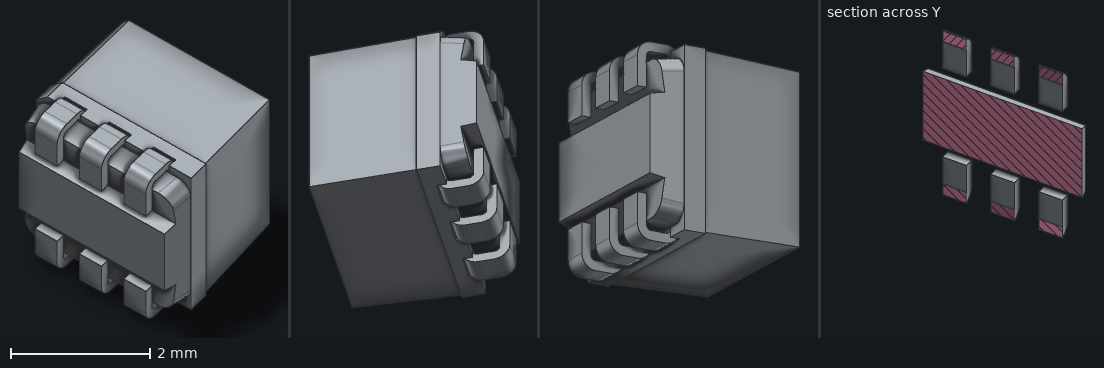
import cadquery as cq
import math

TOTAL_DEPTH = 2.5
CAP_DEPTH = 1.6
FLANGE_DEPTH = 0.35
NOSE_SETBACK = 0.03
FLANGE_FRONT = CAP_DEPTH + FLANGE_DEPTH
NOSE_FRONT = TOTAL_DEPTH - NOSE_SETBACK
NOSE_DEPTH = NOSE_FRONT - FLANGE_FRONT

FLANGE_SIDE = 2.8
FLANGE_CHAMFER = 0.2

CAP_FRONT_SIDE = 2.748
CAP_FRONT_CHAMFER = 0.18
CAP_BACK_SIDE = 2.643
CAP_BACK_CHAMFER = 0.105

NOSE_WIDTH = 2.775
NOSE_HEIGHT = 2.5
NOSE_DRAFT = 8.0
NOSE_CORNER_RADIUS = 0.25
BAND_HEIGHT = 1.2
STEP_DEPTH = 0.225
STEP_WALL_SLOPE = 12.0

LEAD_SPAN = 3.0
LEAD_WIDTH = 0.4
LEAD_THICKNESS = 0.15
LEAD_PITCH = 0.8
LEADS_PER_ROW = 3
LEAD_FOOT_LENGTH = 0.7
LEAD_OUTER_RADIUS = 0.23
LEAD_INNER_RADIUS = LEAD_OUTER_RADIUS - LEAD_THICKNESS
LEAD_TOP = LEAD_SPAN / 2
LEAD_BACK = FLANGE_FRONT - LEAD_THICKNESS
LEAD_ROOT = LEAD_TOP - LEAD_OUTER_RADIUS
LEAD_XS = [(i - (LEADS_PER_ROW - 1) / 2) * LEAD_PITCH for i in range(LEADS_PER_ROW)]


def plane_at(depth):
    """XZ plane at the given depth, with its normal pointing forward (-Y)."""
    return cq.Workplane("XZ", origin=(0, -depth, 0))


def chamfered_square(side, chamfer):
    """Corners of a square centred on the origin, cut at its -X, +Z corner."""
    half = side / 2
    return [
        (-half, -half),
        (half, -half),
        (half, half),
        (chamfer - half, half),
        (-half, half - chamfer),
    ]


def make_cap():
    """Tapered cap standing on the back of the flange."""
    return (
        plane_at(0).polyline(chamfered_square(CAP_BACK_SIDE, CAP_BACK_CHAMFER)).close()
        .workplane(offset=CAP_DEPTH)
        .polyline(chamfered_square(CAP_FRONT_SIDE, CAP_FRONT_CHAMFER)).close()
        .loft(ruled=True, combine=True)
    )


def make_step_cutter():
    """Prism removed from the upper front of the nose, with a floor square to its drafted top."""
    floor_slope = math.tan(math.radians(NOSE_DRAFT))
    inner_z = BAND_HEIGHT / 2 + STEP_DEPTH * math.tan(math.radians(STEP_WALL_SLOPE))
    inner_depth = NOSE_FRONT - STEP_DEPTH
    outer_z = NOSE_HEIGHT / 2
    outer_depth = inner_depth + (outer_z - inner_z) * floor_slope
    outline = [
        (-NOSE_FRONT, BAND_HEIGHT / 2),
        (-inner_depth, inner_z),
        (-outer_depth, outer_z),
        (-NOSE_FRONT, outer_z),
    ]
    return cq.Workplane("YZ").polyline(outline).close().extrude(NOSE_WIDTH / 2, both=True)


def make_nose():
    """Drafted, round-cornered block with a step along its top and its bottom."""
    front_shrink = 2 * NOSE_DEPTH * math.tan(math.radians(NOSE_DRAFT))
    block = (
        plane_at(FLANGE_FRONT).rect(NOSE_WIDTH, NOSE_HEIGHT)
        .workplane(offset=NOSE_DEPTH)
        .rect(NOSE_WIDTH - front_shrink, NOSE_HEIGHT - front_shrink)
        .loft(ruled=True, combine=True)
    )
    slanted_edges = block.edges("not(#Y)")
    block = slanted_edges.fillet(NOSE_CORNER_RADIUS)
    step = make_step_cutter()
    return block.cut(step).cut(step.mirror("XY"))


def make_top_lead(x):
    """Lead of the top row: rear leg, bend, top run, bend and foot, swept along X."""
    front_y = -TOTAL_DEPTH
    back_y = -LEAD_BACK
    foot_end = LEAD_TOP - LEAD_FOOT_LENGTH
    bend_front_y = front_y + LEAD_OUTER_RADIUS
    bend_back_y = back_y - LEAD_OUTER_RADIUS
    inner_top = LEAD_TOP - LEAD_THICKNESS
    return (
        cq.Workplane("YZ", origin=(x, 0, 0))
        .moveTo(front_y, foot_end)
        .lineTo(front_y, LEAD_ROOT)
        .radiusArc((bend_front_y, LEAD_TOP), LEAD_OUTER_RADIUS)
        .lineTo(bend_back_y, LEAD_TOP)
        .radiusArc((back_y, LEAD_ROOT), LEAD_OUTER_RADIUS)
        .lineTo(back_y - LEAD_THICKNESS, LEAD_ROOT)
        .radiusArc((bend_back_y, inner_top), -LEAD_INNER_RADIUS)
        .lineTo(bend_front_y, inner_top)
        .radiusArc((front_y + LEAD_THICKNESS, LEAD_ROOT), -LEAD_INNER_RADIUS)
        .lineTo(front_y + LEAD_THICKNESS, foot_end)
        .close()
        .extrude(LEAD_WIDTH / 2, both=True)
    )


def make_top_notch(x):
    """Rectangular notch in the front top edge of the flange that takes a lead's rear leg."""
    return cq.Workplane("XY").box(
        LEAD_WIDTH, LEAD_THICKNESS, LEAD_OUTER_RADIUS, centered=(True, False, False)
    ).translate((x, -FLANGE_FRONT, LEAD_ROOT))


def make_base():
    """Flange and nose in one piece, notched for the leads."""
    flange = (
        plane_at(CAP_DEPTH).polyline(chamfered_square(FLANGE_SIDE, FLANGE_CHAMFER)).close()
        .extrude(FLANGE_DEPTH)
    )
    base = flange.union(make_nose())
    for x in LEAD_XS:
        notch = make_top_notch(x)
        base = base.cut(notch).cut(notch.mirror("XY"))
    return base


cap = make_cap()
base = make_base()
leads = []
for lead_x in LEAD_XS:
    top_lead = make_top_lead(lead_x)
    leads.append(top_lead.val())
    leads.append(top_lead.mirror("XY").val())

result = cq.Compound.makeCompound([cap.val(), base.val(), *leads])